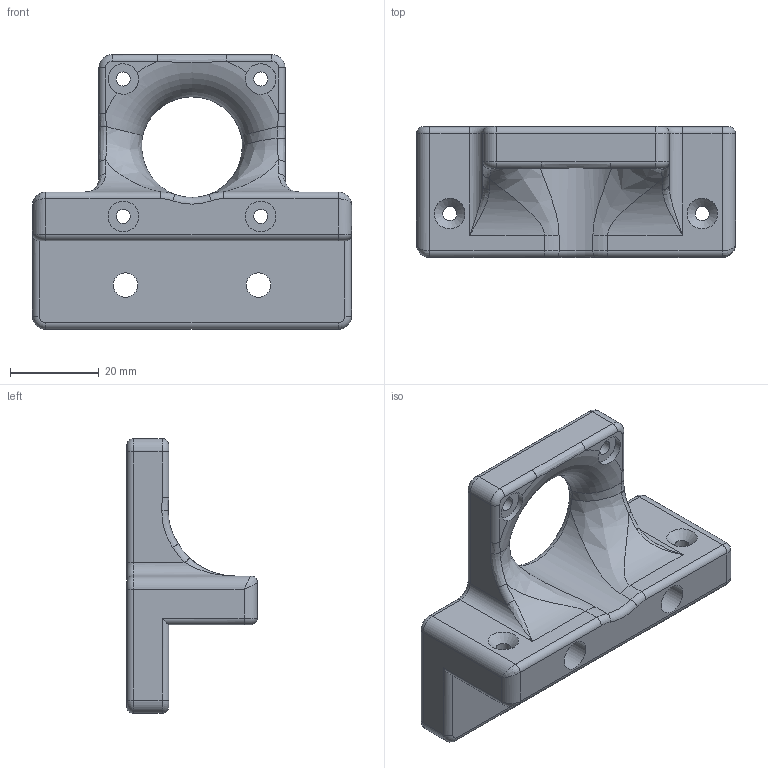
import cadquery as cq
import math

BASE_WIDTH = 72.0
PLATE_THICKNESS = 9.5
SHELF_REACH = 20.0
SHELF_BOTTOM = 20.0
SHELF_TOP = 31.0
TOTAL_HEIGHT = 62.0
UPRIGHT_WIDTH = 42.0
DEPTH = PLATE_THICKNESS + SHELF_REACH

CORNER_RADIUS = 3.0
EDGE_RADIUS = 1.5
GUSSET_RADIUS = 15.0

BORE_RADIUS = 11.25
BORE_HEIGHT = 41.0
FLARE_RADIUS = 9.74
SPARE_BACK = 2.0

MOTOR_HOLE_PITCH = 31.0
COUNTERBORE_FLOOR = 8.0

SHELF_HOLE_PITCH = 57.0
SHELF_HOLE_SETBACK = 19.6

SCREW_HOLE_DIAMETER = 3.2
SCREW_HEAD_DIAMETER = 6.9
COUNTERSINK_DEPTH = (SCREW_HEAD_DIAMETER - SCREW_HOLE_DIAMETER) / 2

MOUNT_HOLE_PITCH = 30.0
MOUNT_HOLE_DIAMETER = 5.5
MOUNT_HOLE_HEIGHT = 10.0

CLEARANCE = 100.0
TOLERANCE = 0.01
EDGE_SAMPLES = (0.0, 0.25, 0.5, 0.75, 1.0)



def block(y_min, y_max, z_min, z_max):
    """Cutting block, wider than the part, between the given Y and Z limits."""
    width = BASE_WIDTH + 2 * CLEARANCE
    return (
        cq.Workplane("YZ", origin=(-width / 2, 0, 0))
        .moveTo(y_min, z_min)
        .lineTo(y_max, z_min)
        .lineTo(y_max, z_max)
        .lineTo(y_min, z_max)
        .close()
        .extrude(width)
    )


def drills(points, diameter, start_y):
    """Cylinders along Y at the (x, z) points, from start_y out past the front."""
    return (
        cq.Workplane("XZ", origin=(0, start_y, 0))
        .pushPoints(points)
        .circle(diameter / 2)
        .extrude(DEPTH + CLEARANCE)
    )


def make_stepped_block():
    """Front outline with rounded corners, extruded over the full depth and the spare stock."""
    half_base = BASE_WIDTH / 2
    half_upright = UPRIGHT_WIDTH / 2
    return (
        cq.Workplane("XZ", origin=(0, SPARE_BACK, 0))
        .moveTo(-half_base, 0)
        .lineTo(half_base, 0)
        .lineTo(half_base, SHELF_TOP)
        .lineTo(half_upright, SHELF_TOP)
        .lineTo(half_upright, TOTAL_HEIGHT)
        .lineTo(-half_upright, TOTAL_HEIGHT)
        .lineTo(-half_upright, SHELF_TOP)
        .lineTo(-half_base, SHELF_TOP)
        .close()
        .extrude(DEPTH + SPARE_BACK)
        .edges("|Y")
        .fillet(CORNER_RADIUS)
    )


def make_plan_column():
    """Tall column whose plan rounds the shelf's two front corners."""
    return (
        cq.Workplane("XY")
        .center(0, (CLEARANCE - DEPTH) / 2)
        .rect(BASE_WIDTH, DEPTH + CLEARANCE)
        .extrude(TOTAL_HEIGHT)
        .edges("|Z")
        .fillet(CORNER_RADIUS)
    )


def make_body():
    """Plate with a shelf, and the upright blending into the shelf through the gusset curve."""
    front_limit = -DEPTH - CLEARANCE
    below_shelf = block(front_limit, -PLATE_THICKNESS, -CLEARANCE, SHELF_BOTTOM)
    above_shelf = block(front_limit, -PLATE_THICKNESS, SHELF_TOP, TOTAL_HEIGHT + CLEARANCE)
    above_shelf = above_shelf.edges("|X and >Y and <Z").fillet(GUSSET_RADIUS)
    return make_stepped_block().cut(below_shelf).cut(above_shelf)



def bore_distance(point):
    return math.hypot(point.x, point.z - BORE_HEIGHT)


def is_flare_edge(edge):
    """Front rim of the bore, including the sides of the groove it leaves in the shelf."""
    on_bore = all(abs(bore_distance(p) - BORE_RADIUS) < TOLERANCE for p in edge.positions(EDGE_SAMPLES))
    middle = edge.positionAt(0.5)
    is_seam = edge.geomType() == "LINE" and abs(middle.z - BORE_HEIGHT) < TOLERANCE
    is_between_ends = -DEPTH + TOLERANCE < middle.y < 0
    return on_bore and is_between_ends and not is_seam


def round_edges(body, is_wanted, radius):
    edges = [edge for edge in body.edges().vals() if is_wanted(edge)]
    return body.newObject(edges).fillet(radius)


def add_flared_bore(body):
    bored = body.cut(drills([(0, BORE_HEIGHT)], 2 * BORE_RADIUS, SPARE_BACK))
    flared = round_edges(bored, is_flare_edge, FLARE_RADIUS)
    spare_stock = block(0, CLEARANCE, -CLEARANCE, TOTAL_HEIGHT + CLEARANCE)
    return flared.cut(spare_stock)



def is_shelf_front_edge(edge):
    """Top front edge of the shelf, following the groove and continuing round both corners."""
    limits = edge.BoundingBox()
    along_front = limits.ymax < -DEPTH + TOLERANCE and limits.zmin > SHELF_TOP - CORNER_RADIUS + TOLERANCE
    round_corner = (
        limits.ymax < -DEPTH + CORNER_RADIUS + TOLERANCE
        and limits.ylen > CORNER_RADIUS - TOLERANCE
        and limits.zlen > CORNER_RADIUS - TOLERANCE
    )
    return along_front or round_corner


def is_shelf_bottom_edge(edge):
    limits = edge.BoundingBox()
    in_underside = limits.zlen < TOLERANCE and abs(limits.zmin - SHELF_BOTTOM) < TOLERANCE
    return in_underside and limits.ymin < -PLATE_THICKNESS - TOLERANCE


def is_back_edge(edge):
    """Any edge of the back face: its outline and the back rim of the bore."""
    return edge.BoundingBox().ymin > -TOLERANCE


def is_upright_front_edge(edge):
    """Front outline of the upright, running down the gusset to the shelf top."""
    limits = edge.BoundingBox()
    on_front = limits.ymax < -PLATE_THICKNESS + TOLERANCE
    above_shelf = limits.zmin > SHELF_TOP - TOLERANCE and limits.zmax > SHELF_TOP + TOLERANCE
    middle = edge.positionAt(0.5)
    on_side = abs(middle.x) > UPRIGHT_WIDTH / 2 - TOLERANCE
    on_top = middle.z > TOTAL_HEIGHT - TOLERANCE
    on_corner = edge.geomType() == "CIRCLE" and abs(limits.zmax - TOTAL_HEIGHT) < TOLERANCE
    is_corner_size = abs(limits.zlen - CORNER_RADIUS) < TOLERANCE
    return on_front and above_shelf and (on_side or on_top or (on_corner and is_corner_size))


def is_lower_plate_edge(edge):
    limits = edge.BoundingBox()
    on_plate_front = limits.ylen < TOLERANCE and abs(limits.ymin + PLATE_THICKNESS) < TOLERANCE
    return on_plate_front and limits.zmin < SHELF_BOTTOM - TOLERANCE


def round_outer_edges(body):
    for is_wanted in (
        is_shelf_front_edge,
        is_shelf_bottom_edge,
        is_back_edge,
        is_upright_front_edge,
        is_lower_plate_edge,
    ):
        body = round_edges(body, is_wanted, EDGE_RADIUS)
    return body



def cut_motor_holes(body):
    offset = MOTOR_HOLE_PITCH / 2
    points = [(x, BORE_HEIGHT + z) for x in (-offset, offset) for z in (-offset, offset)]
    holes = drills(points, SCREW_HOLE_DIAMETER, SPARE_BACK)
    counterbores = drills(points, SCREW_HEAD_DIAMETER, -COUNTERBORE_FLOOR)
    return body.cut(holes).cut(counterbores)


def cut_mount_holes(body):
    points = [(x, MOUNT_HOLE_HEIGHT) for x in (-MOUNT_HOLE_PITCH / 2, MOUNT_HOLE_PITCH / 2)]
    return body.cut(drills(points, MOUNT_HOLE_DIAMETER, SPARE_BACK))


def cut_shelf_holes(body):
    hole_radius = SCREW_HOLE_DIAMETER / 2
    for x in (-SHELF_HOLE_PITCH / 2, SHELF_HOLE_PITCH / 2):
        top_centre = cq.Vector(x, -SHELF_HOLE_SETBACK, SHELF_TOP)
        down = cq.Vector(0, 0, -1)
        hole = cq.Solid.makeCylinder(hole_radius, SHELF_TOP - SHELF_BOTTOM, top_centre, down)
        cone = cq.Solid.makeCone(SCREW_HEAD_DIAMETER / 2, hole_radius, COUNTERSINK_DEPTH, top_centre, down)
        body = body.cut(cq.Workplane(hole)).cut(cq.Workplane(cone))
    return body


bracket = add_flared_bore(make_body())
bracket = bracket.intersect(make_plan_column())
bracket = round_outer_edges(bracket)
bracket = cut_motor_holes(bracket)
bracket = cut_mount_holes(bracket)
bracket = cut_shelf_holes(bracket)
result = cq.Workplane(bracket.solids().val())